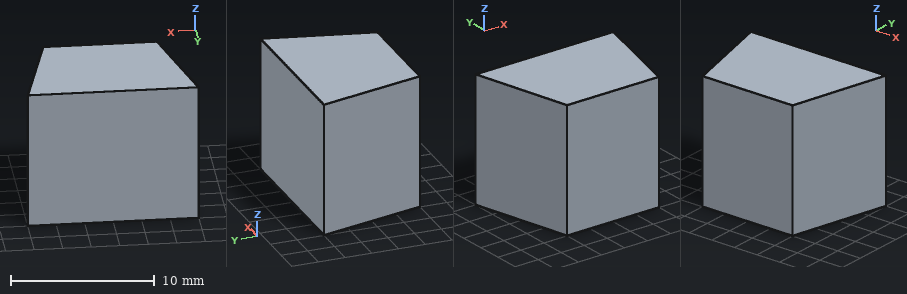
import cadquery as cq

back_width = 12.0
front_width = 8.0
depth = 8.0
height = 10.0

outline = [
    (-front_width / 2, -depth / 2),
    (front_width / 2, -depth / 2),
    (back_width / 2, depth / 2),
    (-back_width / 2, depth / 2),
]

result = cq.Workplane("XY").polyline(outline).close().extrude(height / 2, both=True)